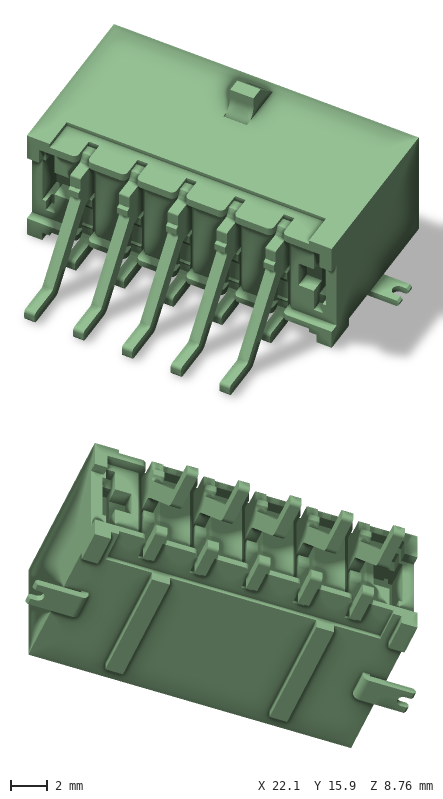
import cadquery as cq
import math


BODY_WIDTH = 18.75
BODY_DEPTH = 9.93
BODY_BOTTOM = 0.55
BODY_TOP = 7.4
BODY_HALF = BODY_WIDTH / 2

STEP_HALF_WIDTH = 7.97
STEP_DEPTH = 1.95
STEP_DROP = 0.26

RECESS_DEPTH = 0.56
RECESS_BOTTOM = 1.2
RECESS_SIDE_TOP = 5.7
RECESS_TOP = 6.66
RECESS_TOP_HALF_WIDTH = 8.63

PIN_COUNT = 5
PIN_PITCH = 3.0
PIN_WIDTH = 0.64
PIN_THICKNESS = 0.73
PIN_TIP_RADIUS = 0.2
PIN_EMBED_Y = 1.8
UPPER_PIN_REACH = 5.97
LOWER_PIN_REACH = 1.35

UPPER_PIN_BOTTOM = 4.08
CREST_Z = 6.93
CREST_REAR_Y = 1.28
CREST_FRONT_Y = 0.67
CREST_STEP_REAR_Y = 0.56
CREST_STEP_FRONT_Y = 0.5
CREST_STEP_TOP = 6.73
CREST_STEP_BOTTOM = 6.6
SHOULDER_REAR_Y = 0.39
SHOULDER_Z = 6.44
SHOULDER_FRONT_Y = 0.73
SHOULDER_RADIUS = 0.1
NIB_TOP = 5.63
NIB_BOTTOM = 5.12
NIB_FRONT_Y = 0.94
NIB_BEVEL = 0.08
HOLLOW_MIDDLE_Z = 4.92
HOLLOW_END_Y = 0.77
HOLLOW_END_Z = 4.75
UPPER_KNEE_Y = 0.13
UPPER_HEEL_Y = 3.38
SLOPE_OFFSET_Y = 0.56
OUTER_BEND_RADIUS = 0.5
INNER_BEND_RADIUS = 0.2

LOWER_PIN_TOP = 3.75
LOWER_HEAD_FRONT_Y = 0.55
LOWER_HEAD_BOTTOM = 3.25
SHANK_FRONT_Y = 0.7
SHANK_TOP = 2.95
SHANK_BOTTOM = 1.7
BEAD_FRONT_Y = 0.6
BEAD_TOP = 1.6
RISER_FRONT_Y = 0.65
RISER_TOP = 1.45
RISER_BOTTOM = 0.97
FOOT_BEVEL_Y = 0.5
FOOT_BEVEL_Z = 0.85
FOOT_REAR_Y = 0.27

SLOT_DEPTH = 1.41
SLOT_MOUTH_RADIUS = 0.3

LATCH_WIDTH = 1.44
LATCH_TOP = 8.76
LATCH_REAR_Y = 9.33
LATCH_CREST_REAR_Y = 7.94
LATCH_CREST_FRONT_Y = 7.13
LATCH_HOLLOW_FRONT_Y = 6.37
LATCH_HOLLOW_RADIUS = 0.87
LATCH_HOLLOW_TOP = 8.12

FOOT_WIDTH = 0.94
RIB_X = 4.77
RIB_WIDTH = 1.02
RIB_REAR_Y = 8.95

TAB_TIP_X = 11.05
TAB_INNER_X = 7.97
TAB_THICKNESS = 0.4
TAB_FRONT_Y = 4.55
TAB_WIDTH = 1.5
TAB_RISER_TOP = 1.1
TAB_BEND_RADIUS = 0.38
TAB_NOTCH_WIDTH = 0.68
TAB_NOTCH_DEPTH = 0.79
TAB_TIP_CHAMFER = 0.13

POCKET_SPLIT_X = 7.97
KEY_POCKET = (7.03, POCKET_SPLIT_X, 3.16, 4.78, 0.94)
NAIL_SLOT = (POCKET_SPLIT_X, 8.38, 2.42, 5.45, 1.3)
NAIL_CLEARANCE = (8.38, 8.72, 2.42, 5.45, 1.6)
NAIL_RELIEF = (POCKET_SPLIT_X, 8.5, 1.75, 6.19, 0.65)


def block(x_min, x_max, y_min, y_max, z_min, z_max):
    """Axis-aligned box between the given limits."""
    size = (x_max - x_min, y_max - y_min, z_max - z_min)
    return cq.Workplane("XY").box(*size, centered=False).translate((x_min, y_min, z_min))


def both_sides(shape):
    """The shape together with its mirror image across X = 0."""
    return shape.union(shape.mirror("YZ"))


def centred_extrusion(profile, width):
    """Extrude a closed YZ profile to both sides of X = 0."""
    return profile.extrude(width / 2, both=True)


def make_housing():
    housing = block(-BODY_HALF, BODY_HALF, 0, BODY_DEPTH, BODY_BOTTOM, BODY_TOP)
    for z_min in (BODY_BOTTOM, BODY_TOP - STEP_DROP):
        step = block(-STEP_HALF_WIDTH, STEP_HALF_WIDTH, 0, STEP_DEPTH, z_min, z_min + STEP_DROP)
        housing = housing.cut(step)
    recess = block(-BODY_HALF, BODY_HALF, 0, RECESS_DEPTH, RECESS_BOTTOM, RECESS_SIDE_TOP)
    recess_top = block(
        -RECESS_TOP_HALF_WIDTH, RECESS_TOP_HALF_WIDTH, 0, RECESS_DEPTH, RECESS_SIDE_TOP, RECESS_TOP
    )
    return housing.cut(recess).cut(recess_top)


def make_side_pockets():
    pockets = cq.Workplane("XY")
    for inner_x, outer_x, bottom, top, depth in (KEY_POCKET, NAIL_SLOT, NAIL_CLEARANCE, NAIL_RELIEF):
        pocket = block(inner_x, outer_x, RECESS_DEPTH, RECESS_DEPTH + depth, bottom, top)
        pockets = pockets.union(pocket)
    return both_sides(pockets)


def make_pin_slot():
    """Full-height slot with a rounded mouth, and a bevelled mouth at the recess floor."""
    half = PIN_WIDTH / 2
    mouth = half + SLOT_MOUTH_RADIUS
    bevel_rear = RECESS_DEPTH + SLOT_MOUTH_RADIUS
    arc_offset = SLOT_MOUTH_RADIUS * (1 - math.sqrt(0.5))
    slot = (
        cq.Workplane("XY")
        .workplane(offset=BODY_BOTTOM)
        .moveTo(-mouth, 0)
        .threePointArc((-half - arc_offset, arc_offset), (-half, SLOT_MOUTH_RADIUS))
        .lineTo(-half, SLOT_DEPTH)
        .lineTo(half, SLOT_DEPTH)
        .lineTo(half, SLOT_MOUTH_RADIUS)
        .threePointArc((half + arc_offset, arc_offset), (mouth, 0))
        .close()
        .extrude(BODY_TOP - BODY_BOTTOM)
    )
    bevel = (
        cq.Workplane("XY")
        .workplane(offset=RECESS_BOTTOM)
        .polyline([(-mouth, RECESS_DEPTH), (-half, bevel_rear), (half, bevel_rear), (mouth, RECESS_DEPTH)])
        .close()
        .extrude(RECESS_TOP - RECESS_BOTTOM)
    )
    return slot.union(bevel)


def round_pin_edge(pin, y, z, radius):
    """Round the pin edge that runs along X through the given corner of its outline."""
    corner = cq.selectors.NearestToPointSelector((0, y, z))
    return pin.edges("|X").edges(corner).fillet(radius)


def round_pin_tip(pin):
    return pin.faces("<Y").edges("|X").fillet(PIN_TIP_RADIUS)


def make_upper_pin():
    """Pin that leaves the slot high up and slopes down to a foot on the board."""
    heel_rear = (-UPPER_HEEL_Y, 0)
    knee_rear = (-UPPER_KNEE_Y, UPPER_PIN_BOTTOM)
    heel_front = (-UPPER_HEEL_Y - SLOPE_OFFSET_Y, PIN_THICKNESS)
    profile = (
        cq.Workplane("YZ")
        .moveTo(PIN_EMBED_Y, UPPER_PIN_BOTTOM)
        .lineTo(PIN_EMBED_Y, CREST_STEP_TOP)
        .lineTo(SLOT_DEPTH, CREST_STEP_TOP)
        .lineTo(CREST_REAR_Y, CREST_Z)
        .lineTo(CREST_FRONT_Y, CREST_Z)
        .lineTo(CREST_STEP_REAR_Y, CREST_STEP_TOP)
        .lineTo(CREST_STEP_FRONT_Y, CREST_STEP_BOTTOM)
        .lineTo(SHOULDER_REAR_Y, SHOULDER_Z)
        .lineTo(-SHOULDER_FRONT_Y, SHOULDER_Z)
        .lineTo(-SHOULDER_FRONT_Y, NIB_TOP)
        .lineTo(-NIB_FRONT_Y, NIB_TOP - NIB_BEVEL)
        .lineTo(-NIB_FRONT_Y, NIB_BOTTOM)
        .lineTo(-NIB_FRONT_Y + NIB_BEVEL, NIB_BOTTOM - NIB_BEVEL / 2)
        .threePointArc((-SHOULDER_FRONT_Y, HOLLOW_MIDDLE_Z), (-HOLLOW_END_Y, HOLLOW_END_Z))
        .lineTo(*heel_front)
        .lineTo(-UPPER_PIN_REACH, PIN_THICKNESS)
        .lineTo(-UPPER_PIN_REACH, 0)
        .lineTo(*heel_rear)
        .lineTo(*knee_rear)
        .close()
    )
    pin = round_pin_tip(centred_extrusion(profile, PIN_WIDTH))
    for y, z in (heel_rear, knee_rear):
        pin = round_pin_edge(pin, y, z, OUTER_BEND_RADIUS)
    pin = round_pin_edge(pin, *heel_front, INNER_BEND_RADIUS)
    return round_pin_edge(pin, -SHOULDER_FRONT_Y, SHOULDER_Z, SHOULDER_RADIUS)


def make_lower_pin():
    """Pin that stands in the slot and turns out along the board."""
    profile = (
        cq.Workplane("YZ")
        .moveTo(PIN_EMBED_Y, LOWER_PIN_TOP)
        .lineTo(LOWER_HEAD_FRONT_Y, LOWER_PIN_TOP)
        .lineTo(LOWER_HEAD_FRONT_Y, LOWER_HEAD_BOTTOM)
        .lineTo(SHANK_FRONT_Y, SHANK_TOP)
        .lineTo(SHANK_FRONT_Y, SHANK_BOTTOM)
        .lineTo(BEAD_FRONT_Y, BEAD_TOP)
        .lineTo(RISER_FRONT_Y, RISER_TOP)
        .lineTo(RISER_FRONT_Y, RISER_BOTTOM)
        .lineTo(FOOT_BEVEL_Y, FOOT_BEVEL_Z)
        .lineTo(FOOT_REAR_Y, PIN_THICKNESS)
        .lineTo(-LOWER_PIN_REACH, PIN_THICKNESS)
        .lineTo(-LOWER_PIN_REACH, 0)
        .lineTo(CREST_FRONT_Y, 0)
        .lineTo(CREST_FRONT_Y, RISER_BOTTOM)
        .lineTo(PIN_EMBED_Y, RISER_BOTTOM)
        .close()
    )
    return round_pin_tip(centred_extrusion(profile, PIN_WIDTH))


def add_latch(housing):
    """Ramped latch whose concave front runs out just below the top face."""
    centre_y = LATCH_CREST_FRONT_Y - LATCH_HOLLOW_RADIUS
    hollow_drop = math.sqrt(LATCH_HOLLOW_RADIUS**2 - (LATCH_HOLLOW_FRONT_Y - centre_y) ** 2)
    hollow_end = (LATCH_HOLLOW_FRONT_Y, LATCH_HOLLOW_TOP - hollow_drop)
    diagonal = LATCH_HOLLOW_RADIUS * math.sqrt(0.5)
    hollow_middle = (centre_y + diagonal, LATCH_HOLLOW_TOP - diagonal)
    latch = (
        cq.Workplane("YZ")
        .moveTo(LATCH_REAR_Y, BODY_TOP)
        .lineTo(LATCH_CREST_REAR_Y, LATCH_TOP)
        .lineTo(LATCH_CREST_FRONT_Y, LATCH_TOP)
        .lineTo(LATCH_CREST_FRONT_Y, LATCH_HOLLOW_TOP)
        .threePointArc(hollow_middle, hollow_end)
        .lineTo(LATCH_REAR_Y, hollow_end[1])
        .close()
    )
    clearance = block(
        -LATCH_WIDTH / 2, LATCH_WIDTH / 2, LATCH_HOLLOW_FRONT_Y, LATCH_REAR_Y, hollow_end[1], BODY_TOP
    )
    return housing.cut(clearance).union(centred_extrusion(latch, LATCH_WIDTH))


def make_feet_and_ribs():
    foot = block(BODY_HALF - FOOT_WIDTH, BODY_HALF, 0, STEP_DEPTH, 0, RECESS_BOTTOM)
    rib = block(RIB_X - RIB_WIDTH / 2, RIB_X + RIB_WIDTH / 2, STEP_DEPTH, RIB_REAR_Y, 0, BODY_BOTTOM)
    return both_sides(foot.union(rib))


def make_solder_tabs():
    """Bent metal strips: down out of the housing, then outward along the board."""
    rear_y = TAB_FRONT_Y + TAB_WIDTH
    plate = block(TAB_INNER_X, TAB_TIP_X, TAB_FRONT_Y, rear_y, 0, TAB_THICKNESS)
    riser = block(TAB_INNER_X, TAB_INNER_X + TAB_THICKNESS, TAB_FRONT_Y, rear_y, 0, TAB_RISER_TOP)
    tab = plate.union(riser)
    tab = tab.edges("|Y").edges("<X").edges("<Z").fillet(TAB_BEND_RADIUS)
    tab = tab.faces(">X").edges("|Y").chamfer(TAB_TIP_CHAMFER)
    notch = (
        cq.Workplane("XY")
        .center(TAB_TIP_X, TAB_FRONT_Y + TAB_WIDTH / 2)
        .slot2D(2 * TAB_NOTCH_DEPTH, TAB_NOTCH_WIDTH)
        .extrude(TAB_THICKNESS)
    )
    return both_sides(tab.cut(notch))


connector = make_housing().cut(make_side_pockets())
connector = add_latch(connector)
connector = connector.union(make_feet_and_ribs()).union(make_solder_tabs())

pin_slot = make_pin_slot()
pin_pair = make_upper_pin().union(make_lower_pin())
for index in range(PIN_COUNT):
    pin_x = (index - (PIN_COUNT - 1) / 2) * PIN_PITCH
    connector = connector.cut(pin_slot.translate((pin_x, 0, 0)))
    connector = connector.union(pin_pair.translate((pin_x, 0, 0)))

result = connector